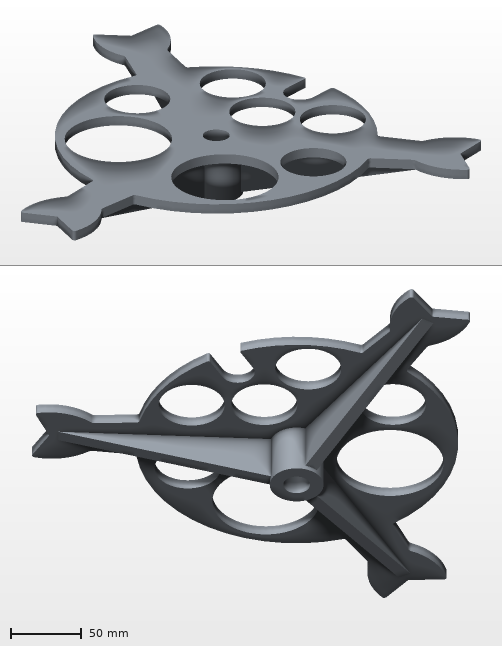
import cadquery as cq
import math

disc_radius = 114.3
plate_thickness = 7.3
total_height = 43.91

hub_diameter = 38.1
bore_diameter = 19.05
hub_height = total_height - plate_thickness

arm_count = 3
arm_pitch = 360 / arm_count
arm_root_half_width = 18.6
arm_root_radius = math.sqrt(disc_radius**2 - arm_root_half_width**2)
arm_root_fillet = 2.0
neck_fillet = 4.0
neck_half_width = 15.8
neck_radius = 145.3
fin_half_width = 26.6
fin_widest_radius = 172.0
tip_half_width = 24.9
tip_radius = 187.1
tip_fillet = 2.0
notch_radius = 175.4

rib_thickness = 9.5
rib_reach = 169.5
rib_depth_at_hub = 33.3

small_hole_diameter = 46.8
small_hole_centers = [(0, 50.8)]
for side in (-1, 1):
    small_hole_centers += [(side * 46.2, 73.4), (side * 81.3, 10.0)]
large_hole_diameter = 76.0
large_hole_offset = 49.2
large_hole_centers = [(side * large_hole_offset, -large_hole_offset) for side in (-1, 1)]

slot_width = 24.0
slot_bottom_radius = 80.5
slot_mouth_fillet = 1.5


def upright_edges_at(half_width, y):
    """Selects the upright plate edges at x = +half_width and x = -half_width, at the given y."""
    margin = 1.0
    boxes = [
        cq.selectors.BoxSelector(
            (x - margin, y - margin, 0), (x + margin, y + margin, plate_thickness)
        )
        for x in (-half_width, half_width)
    ]
    return (boxes[0] + boxes[1]) & cq.selectors.ParallelDirSelector(cq.Vector(0, 0, 1))


def make_disc_with_arm():
    """Disc with one arm along -Y: tapered shank, bulging fins and a V-notched end."""
    arm = (
        cq.Workplane("XY")
        .moveTo(0, 0)
        .lineTo(arm_root_half_width, 0)
        .lineTo(arm_root_half_width, -arm_root_radius)
        .lineTo(neck_half_width, -neck_radius)
        .threePointArc((fin_half_width, -fin_widest_radius), (tip_half_width, -tip_radius))
        .lineTo(0, -notch_radius)
        .lineTo(-tip_half_width, -tip_radius)
        .threePointArc((-fin_half_width, -fin_widest_radius), (-neck_half_width, -neck_radius))
        .lineTo(-arm_root_half_width, -arm_root_radius)
        .lineTo(-arm_root_half_width, 0)
        .close()
        .extrude(plate_thickness)
    )
    arm = arm.edges(upright_edges_at(tip_half_width, -tip_radius)).fillet(tip_fillet)
    arm = arm.edges(upright_edges_at(neck_half_width, -neck_radius)).fillet(neck_fillet)
    body = cq.Workplane("XY").circle(disc_radius).extrude(plate_thickness).union(arm)
    return body.edges(upright_edges_at(arm_root_half_width, -arm_root_radius)).fillet(arm_root_fillet)


def make_rib():
    """Triangular web along -Y, deepest at the hub and running out under the arm."""
    hub_radius = hub_diameter / 2
    return (
        cq.Workplane("YZ")
        .moveTo(0, 0)
        .lineTo(-rib_reach, 0)
        .lineTo(-hub_radius, -rib_depth_at_hub)
        .lineTo(0, -rib_depth_at_hub)
        .close()
        .extrude(rib_thickness / 2, both=True)
    )


def make_slot():
    round_center = slot_bottom_radius + slot_width / 2
    straight_length = disc_radius - round_center
    straight = (
        cq.Workplane("XY")
        .center(0, round_center + straight_length / 2)
        .rect(slot_width, straight_length)
        .extrude(plate_thickness)
    )
    round_end = (
        cq.Workplane("XY").center(0, round_center).circle(slot_width / 2).extrude(plate_thickness)
    )
    return straight.union(round_end)


def make_holes(centers, diameter):
    return cq.Workplane("XY").pushPoints(centers).circle(diameter / 2).extrude(plate_thickness)


def around_hub(body):
    """One copy of the body for every arm."""
    axis_start, axis_end = (0, 0, 0), (0, 0, 1)
    return [body.rotate(axis_start, axis_end, i * arm_pitch) for i in range(arm_count)]


plate, *other_arms = around_hub(make_disc_with_arm())
for disc_with_arm in other_arms:
    plate = plate.union(disc_with_arm)

plate = plate.cut(make_holes(small_hole_centers, small_hole_diameter))
plate = plate.cut(make_holes(large_hole_centers, large_hole_diameter))
plate = plate.cut(make_slot())
slot_mouth_y = math.sqrt(disc_radius**2 - (slot_width / 2) ** 2)
plate = plate.edges(upright_edges_at(slot_width / 2, slot_mouth_y)).fillet(slot_mouth_fillet)

result = plate.union(cq.Workplane("XY").circle(hub_diameter / 2).extrude(-hub_height))
for rib in around_hub(make_rib()):
    result = result.union(rib)

bore = (
    cq.Workplane("XY")
    .workplane(offset=-hub_height)
    .circle(bore_diameter / 2)
    .extrude(total_height)
)
result = result.cut(bore)